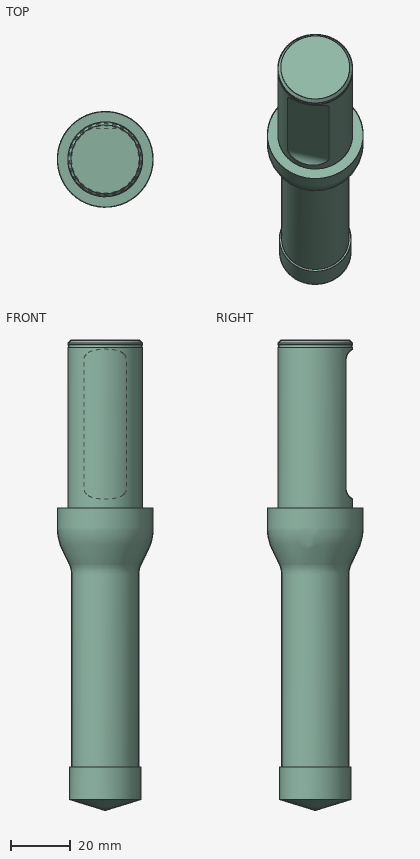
import cadquery as cq
import math

shank_diameter = 24.99
shank_length = 56.0
end_chamfer = 1.0

groove_depth = 0.25
groove_top_offset = 1.5
groove_width = 1.0

flat_depth = 2.2
flat_margin = 3.0
flat_end_radius = 4.0

collar_diameter = 32.0
collar_height = 7.0

neck_diameter = 22.5
neck_top = -21.9
throat_radius = 7.0
flare_angle = math.radians(23)

head_diameter = 23.9
head_height = 10.9
overall_length = 157.0
point_height = 3.7

tip_z = shank_length - overall_length
head_bottom_z = tip_z + point_height
head_top_z = head_bottom_z + head_height


def make_turned_holder():
    """Turned profile of the shank, collar, flare and neck, revolved about Z."""
    shank_r = shank_diameter / 2
    groove_r = shank_r - groove_depth
    collar_r = collar_diameter / 2
    neck_r = neck_diameter / 2

    groove_top = shank_length - groove_top_offset
    groove_bottom = groove_top - groove_width

    throat_top_r = neck_r + throat_radius * (1 - math.cos(flare_angle))
    throat_top = neck_top + throat_radius * math.sin(flare_angle)
    throat_mid = (
        neck_r + throat_radius * (1 - math.cos(flare_angle / 2)),
        neck_top + throat_radius * math.sin(flare_angle / 2),
    )
    flare_start_direction = (math.sin(flare_angle), math.cos(flare_angle))
    flare_end_direction = (0, 1)

    profile = (
        cq.Workplane("XZ")
        .moveTo(0, head_top_z)
        .lineTo(neck_r, head_top_z)
        .lineTo(neck_r, neck_top)
        .threePointArc(throat_mid, (throat_top_r, throat_top))
        .spline(
            [(collar_r, -collar_height)],
            tangents=[flare_start_direction, flare_end_direction],
            includeCurrent=True,
        )
        .lineTo(collar_r, 0)
        .lineTo(shank_r, 0)
        .lineTo(shank_r, groove_bottom)
        .threePointArc((groove_r, groove_top - groove_width / 2), (shank_r, groove_top))
        .lineTo(shank_r, shank_length - end_chamfer)
        .lineTo(shank_r - end_chamfer, shank_length)
        .lineTo(0, shank_length)
        .close()
    )
    return profile.revolve(360, (0, 0, 0), (0, 1, 0))


def make_flat_cutter():
    """Bar with half-round ends, running along Z, that cuts the flat on the +Y side."""
    shank_r = shank_diameter / 2
    end_run = math.sqrt(flat_end_radius**2 - (flat_end_radius - flat_depth) ** 2)
    overhang = flat_end_radius - end_run
    length = shank_length - 2 * flat_margin + 2 * overhang
    height = 2 * flat_end_radius
    return (
        cq.Workplane("YZ")
        .center(shank_r - flat_depth + flat_end_radius, shank_length / 2)
        .slot2D(length, height, 90)
        .extrude(shank_r, both=True)
    )


def make_head():
    """Cylindrical head with a conical point, seated on the end of the neck."""
    head_r = head_diameter / 2
    profile = (
        cq.Workplane("XZ")
        .moveTo(0, tip_z)
        .lineTo(head_r, head_bottom_z)
        .lineTo(head_r, head_top_z)
        .lineTo(0, head_top_z)
        .close()
    )
    return profile.revolve(360, (0, 0, 0), (0, 1, 0))


holder = make_turned_holder().cut(make_flat_cutter())
head = make_head()

result = cq.Compound.makeCompound([holder.val(), head.val()])